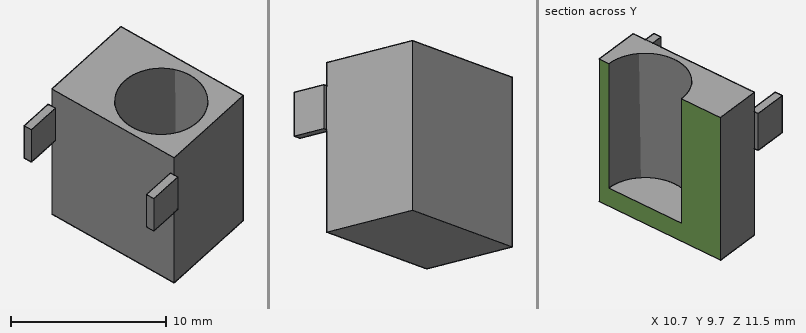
import cadquery as cq

overall_width = 10.65
pin_thickness = 0.6
pin_length = 2.5
pin_height = 2.98
pin_top_drop = 1.58

body_width = overall_width - pin_thickness
body_depth = 7.2
body_height = 11.5

socket_diameter = 6.0
socket_from_left = 6.23
socket_from_front = 3.5
socket_depth = 10.0


def make_body():
    return cq.Workplane("XY").box(body_width, body_depth, body_height, centered=(True, False, False))


def make_socket():
    socket_x = socket_from_left - body_width / 2
    socket_floor = body_height - socket_depth
    return (
        cq.Workplane("XY", origin=(socket_x, socket_from_front, socket_floor))
        .circle(socket_diameter / 2)
        .extrude(socket_depth)
    )


def make_pin(side):
    """Pin on the left (side = -1) or right (side = 1), half overhanging the housing side."""
    pin_x = side * body_width / 2
    pin_bottom = body_height - pin_top_drop - pin_height
    return (
        cq.Workplane("XY")
        .box(pin_thickness, pin_length, pin_height, centered=(True, False, False))
        .translate((pin_x, -pin_length, pin_bottom))
    )


result = make_body().cut(make_socket())
for side in (-1, 1):
    result = result.union(make_pin(side))